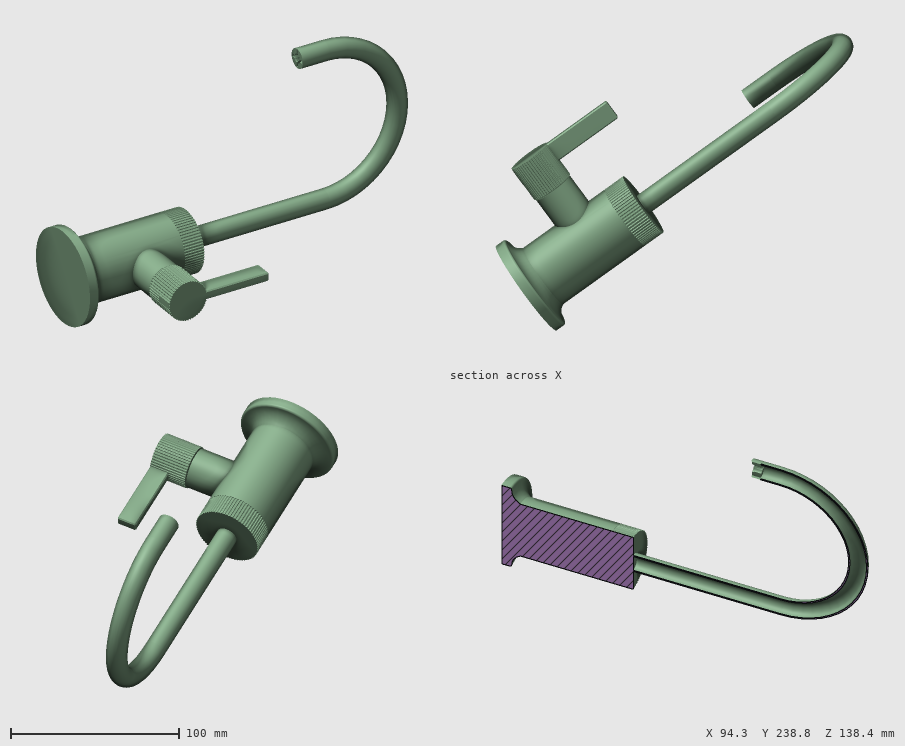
import cadquery as cq
import math


total_length = 238.8
total_width = 94.3

flange_diameter = 61.8
flange_radius = flange_diameter / 2
flange_edge_top = 5.3
flange_round = 1.5
flare_bottom = flange_edge_top + flange_round
flare_top = 12.5
flare_middle_radius = 23.9
flare_middle_height = 8.4
body_radius = 20.5

collar_bottom = 72.3
collar_top = 86.0
collar_teeth = 72

tooth_depth = 0.5
land_share = 0.3

tube_radius = 6.5
tube_bore_radius = 5.3
bend_radius = 50.5
bend_start = total_length - tube_radius - bend_radius
outlet_length = 18.9
outlet_y = bend_start - outlet_length
outlet_height = 2 * bend_radius

plug_length = 6.0
plug_hole_radius = 2.6
plug_mouth_radius = 3.0
plug_mouth_depth = 1.2
slot_length = 11.5
slot_width = 2.0

stub_height = 48.5
stub_radius = 12.5
stub_end = 39.6
knob_gap = 0.7
knob_start = stub_end + knob_gap
knob_radius = 13.1
knob_end = total_width - flange_radius
knob_teeth = 48
lever_width = 12.2
lever_thickness = 5.7
lever_tip = 104.8
lever_bevel = 0.7


def along_x(x):
    """Sketch plane across the handle axis, facing +X."""
    return cq.Plane(origin=(x, stub_height, 0), xDir=(0, 1, 0), normal=(1, 0, 0))


def along_y(y, z=0):
    """Sketch plane across the body axis, or across a line Z above it, facing +Y."""
    return cq.Plane(origin=(0, y, z), xDir=(1, 0, 0), normal=(0, 1, 0))


def knurled_cylinder(plane, radius, length, teeth):
    """Cylinder with straight flat-topped teeth, parted by flat-bottomed grooves."""
    pitch = 2 * math.pi / teeth
    points = []
    for i in range(teeth):
        middle = i * pitch
        for angle, distance in (
            (middle - land_share * pitch / 2, radius),
            (middle + land_share * pitch / 2, radius),
            (middle + (1 - land_share) * pitch / 2, radius - tooth_depth),
            (middle + (1 + land_share) * pitch / 2, radius - tooth_depth),
        ):
            points.append((distance * math.cos(angle), distance * math.sin(angle)))
    return cq.Workplane(plane).polyline(points).close().extrude(length)


def make_body():
    """Round body with a flange at its base and a concave flare between the two."""
    return (
        cq.Workplane("XY")
        .lineTo(flange_radius, 0)
        .lineTo(flange_radius, flange_edge_top)
        .radiusArc((flange_radius - flange_round, flare_bottom), -flange_round)
        .threePointArc((flare_middle_radius, flare_middle_height), (body_radius, flare_top))
        .lineTo(body_radius, collar_bottom)
        .lineTo(0, collar_bottom)
        .close()
        .revolve(360, (0, 0, 0), (0, 1, 0))
    )


def make_sweep(radius, start, end):
    """Round bar along the spout: straight, half a turn upwards, then straight back."""
    path = (
        cq.Workplane("YZ")
        .moveTo(start, 0)
        .lineTo(bend_start, 0)
        .threePointArc((bend_start + bend_radius, bend_radius), (bend_start, outlet_height))
        .lineTo(end, outlet_height)
    )
    return cq.Workplane(along_y(start)).circle(radius).sweep(path)


def make_outlet_openings():
    """Tool for the stepped hole and the crossed slots through the plug."""
    outlet = cq.Workplane(along_y(outlet_y, outlet_height))
    hole = outlet.circle(plug_hole_radius).extrude(plug_length)
    mouth = outlet.circle(plug_mouth_radius).extrude(plug_mouth_depth)
    level_slot = outlet.rect(slot_length, slot_width).extrude(plug_length)
    upright_slot = outlet.rect(slot_width, slot_length).extrude(plug_length)
    return hole.union(mouth).union(level_slot).union(upright_slot)


def make_faucet():
    """Body, knurled collar, handle stub and hollow spout in one solid."""
    collar_height = collar_top - collar_bottom
    collar = knurled_cylinder(along_y(collar_bottom), body_radius, collar_height, collar_teeth)
    stub = cq.Workplane(along_x(0)).circle(stub_radius).extrude(stub_end)
    spout = make_sweep(tube_radius, collar_bottom, outlet_y)
    spout_bore = make_sweep(tube_bore_radius, collar_top, outlet_y + plug_length)
    outer = make_body().union(collar).union(stub).union(spout)
    return outer.cut(spout_bore).cut(make_outlet_openings())


def make_handle():
    """Knurled knob with a flat bevelled lever that passes right through it."""
    knob = knurled_cylinder(along_x(knob_start), knob_radius, knob_end - knob_start, knob_teeth)
    lever_bottom = stub_height - knob_radius
    lever = (
        cq.Workplane("XY")
        .box(lever_width, lever_tip - lever_bottom, lever_thickness)
        .translate((knob_end - lever_width / 2, (lever_tip + lever_bottom) / 2, 0))
        .edges()
        .chamfer(lever_bevel)
    )
    return knob.union(lever)


faucet = make_faucet()
handle = make_handle()

result = cq.Compound.makeCompound([faucet.val(), handle.val()])